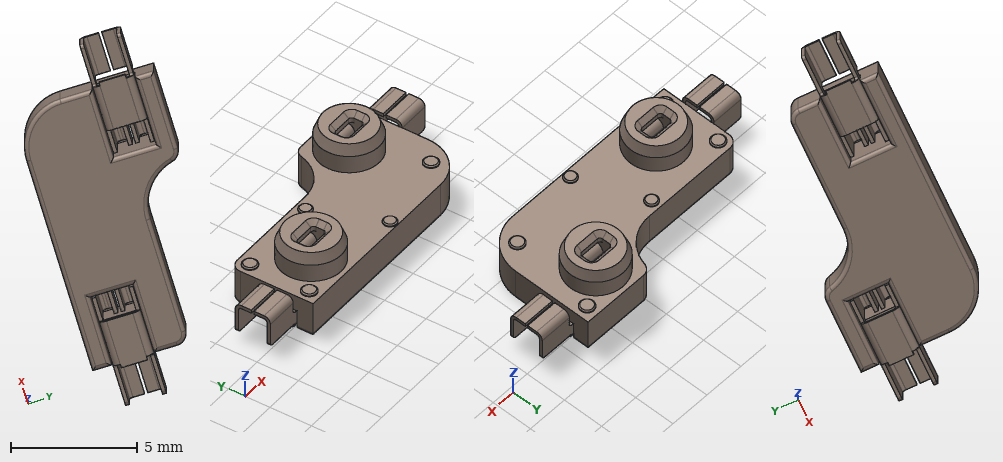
import cadquery as cq
import math


LENGTH = 14.5
POST_X = 3.18
POST_Y = 1.28

BODY_LENGTH = 10.9
BODY_WIDTH = 5.89
BODY_HEIGHT = 1.71
STEP_Y = 1.06
CORNER_RADIUS = 0.5
LARGE_RADIUS = 2.0
SWEEP_X = -0.22
BOTTOM_FILLET = 0.17

HEIGHT = 3.05
POST_DIAMETER = 2.9
NOSE_INSET = 0.2
NOSE_HEIGHT = 0.5

THROAT_LENGTH = 1.2
THROAT_WIDTH = 0.67
THROAT_RADIUS = 0.15
FUNNEL_FLARE = 0.25
FUNNEL_DEPTH = 0.23

PEG_HEIGHT = 0.1
PEG_CHAMFER = 0.06
LARGE_PEG_DIAMETER = 0.7
SMALL_PEG_DIAMETER = 0.62
LARGE_PEGS = [(-4.9, 0.48), (-4.9, -2.38), (4.34, -1.87), (4.87, 2.36)]
SMALL_PEGS = [(-0.85, 0.6), (0.42, -2.6)]

SHEET = 0.16
CONTACT_WIDTH = 1.7
CONTACT_BOTTOM = 0.05
CONTACT_TOP = 1.8
BEND_RADIUS = 0.3
SEAM_GAP = 0.13
TERMINAL_LENGTH = 1.6
TERMINAL_BOTTOM = 0.35
NECK_TOP = 0.93
NECK_FILLET = 0.15
NOTCH_FILLET = 0.09
TERMINAL_CORNER_RADIUS = 0.15
NOTCH_OVERHANG = 0.06
LEAF_LENGTH = 0.99
LEAF_TOP = 2.54
LEAF_TIP = 1.02
LEAF_BEND_RADIUS = 0.36

CLEARANCE = 0.036

POST_RADIUS = POST_DIAMETER / 2
HALF_LENGTH = LENGTH / 2
HALF_BODY = BODY_LENGTH / 2
HALF_WIDTH = BODY_WIDTH / 2
HALF_CONTACT = CONTACT_WIDTH / 2
TERMINAL_END = TERMINAL_LENGTH - HALF_LENGTH
LEAF_START = -POST_X - LEAF_LENGTH / 2
LEAF_END = -POST_X + LEAF_LENGTH / 2
CAVITY_Y_RANGE = (-POST_Y - HALF_CONTACT - CLEARANCE, -POST_Y + HALF_CONTACT + CLEARANCE)
CHAMBER_START = -POST_X - THROAT_LENGTH / 2
CHAMBER_END = -POST_X + THROAT_LENGTH / 2


def block(x_range, y_range, z_range):
    """Box filling the given ranges."""
    (x0, x1), (y0, y1), (z0, z1) = x_range, y_range, z_range
    return cq.Workplane("XY").box(x1 - x0, y1 - y0, z1 - z0, centered=False).translate((x0, y0, z0))


def half_turn(body):
    """Same shape on the other post."""
    return body.rotate((0, 0, 0), (0, 0, 1), 180)



def point_on_circle(center, radius, angle):
    """Point at an angle in radians, counted from +X."""
    return (center[0] + radius * math.cos(angle), center[1] + radius * math.sin(angle))


def housing_block():
    """Stepped plate; a concave sweep and a convex corner, tangent to each other, form the step."""
    sweep_center = (SWEEP_X, STEP_Y + LARGE_RADIUS)
    corner_y = HALF_WIDTH - CORNER_RADIUS
    center_distance = LARGE_RADIUS + CORNER_RADIUS
    sweep_end = math.asin((corner_y - sweep_center[1]) / center_distance)
    corner_center = point_on_circle(sweep_center, center_distance, sweep_end)
    sweep_middle = (sweep_end - math.pi / 2) / 2
    corner_middle = (sweep_end + math.pi + math.pi / 2) / 2

    return (
        cq.Workplane("XY")
        .moveTo(-HALF_BODY, -HALF_WIDTH)
        .lineTo(HALF_BODY - LARGE_RADIUS, -HALF_WIDTH)
        .tangentArcPoint((HALF_BODY, LARGE_RADIUS - HALF_WIDTH), relative=False)
        .lineTo(HALF_BODY, HALF_WIDTH)
        .lineTo(corner_center[0], HALF_WIDTH)
        .threePointArc(
            point_on_circle(corner_center, CORNER_RADIUS, corner_middle),
            point_on_circle(sweep_center, LARGE_RADIUS, sweep_end),
        )
        .threePointArc(
            point_on_circle(sweep_center, LARGE_RADIUS, sweep_middle),
            (SWEEP_X, STEP_Y),
        )
        .lineTo(CORNER_RADIUS - HALF_BODY, STEP_Y)
        .tangentArcPoint((-HALF_BODY, STEP_Y - CORNER_RADIUS), relative=False)
        .close()
        .extrude(BODY_HEIGHT)
    )


def entry_channel():
    """Low channel, open below, that leads a contact in from the side of the housing."""
    return block(
        (-HALF_BODY, CHAMBER_END),
        CAVITY_Y_RANGE,
        (0, NECK_TOP + CLEARANCE),
    )


def leaf_chamber():
    """Tall part of the cavity, inside the post, that holds the contact's leaves."""
    return block(
        (CHAMBER_START, CHAMBER_END),
        CAVITY_Y_RANGE,
        (NECK_TOP, LEAF_TOP + CLEARANCE),
    )


def post():
    """Round post with a tapered nose."""
    return (
        cq.Workplane("XY", origin=(-POST_X, -POST_Y, BODY_HEIGHT))
        .circle(POST_RADIUS)
        .extrude(HEIGHT - BODY_HEIGHT)
        .faces(">Z")
        .chamfer(NOSE_HEIGHT, NOSE_INSET)
    )


def throat_outline(flare):
    """Rounded rectangle of the throat, grown by the flare on every side."""
    return (
        cq.Sketch()
        .rect(THROAT_LENGTH + 2 * flare, THROAT_WIDTH + 2 * flare)
        .vertices()
        .fillet(THROAT_RADIUS + flare)
    )


def post_opening():
    """Rounded throat down to the leaf chamber, widened to a funnel at the top."""
    funnel_bottom = HEIGHT - FUNNEL_DEPTH
    throat = (
        cq.Workplane("XY", origin=(-POST_X, -POST_Y, LEAF_TOP))
        .placeSketch(throat_outline(0))
        .extrude(funnel_bottom - LEAF_TOP)
    )
    funnel = (
        cq.Workplane("XY", origin=(-POST_X, -POST_Y, funnel_bottom))
        .placeSketch(
            throat_outline(0),
            throat_outline(FUNNEL_FLARE).moved(cq.Location(cq.Vector(0, 0, FUNNEL_DEPTH))),
        )
        .loft()
    )
    return throat.union(funnel)


def peg(position, diameter):
    """Low chamfered disc on the top face."""
    return (
        cq.Workplane("XY", origin=(*position, BODY_HEIGHT))
        .circle(diameter / 2)
        .extrude(PEG_HEIGHT)
        .faces(">Z")
        .chamfer(PEG_CHAMFER)
    )


def build_housing():
    """Plate with both posts and pegs, hollowed out for the contacts."""
    body = housing_block().cut(entry_channel()).cut(half_turn(entry_channel()))
    body = body.faces("<Z").edges().fillet(BOTTOM_FILLET)
    body = body.union(post()).union(half_turn(post()))

    post_hollow = leaf_chamber().union(post_opening())
    body = body.cut(post_hollow).cut(half_turn(post_hollow))

    for position in LARGE_PEGS:
        body = body.union(peg(position, LARGE_PEG_DIAMETER))
    for position in SMALL_PEGS:
        body = body.union(peg(position, SMALL_PEG_DIAMETER))
    return body



def bent_tube():
    """Square tube of bent sheet, from the open terminal end to the end of the leaves."""
    length = LEAF_END + HALF_LENGTH
    height = CONTACT_TOP - CONTACT_BOTTOM
    center = (-HALF_LENGTH, -POST_Y, (CONTACT_TOP + CONTACT_BOTTOM) / 2)
    outside = (
        cq.Workplane("YZ", origin=center)
        .rect(CONTACT_WIDTH, height)
        .extrude(length)
        .edges("|X")
        .fillet(BEND_RADIUS)
    )
    inside = (
        cq.Workplane("YZ", origin=center)
        .rect(CONTACT_WIDTH - 2 * SHEET, height - 2 * SHEET)
        .extrude(length)
        .edges("|X")
        .fillet(BEND_RADIUS - SHEET)
    )
    return outside.cut(inside)


def side_profile():
    """Volume kept of the bent tube: its side outline plus the narrow floor tab under the terminal."""
    notch_end = -HALF_BODY - NOTCH_OVERHANG
    walls = (
        cq.Workplane("XZ", origin=(0, HALF_CONTACT - POST_Y, 0))
        .moveTo(-HALF_LENGTH, CONTACT_TOP)
        .lineTo(-HALF_LENGTH, TERMINAL_BOTTOM + TERMINAL_CORNER_RADIUS)
        .tangentArcPoint((TERMINAL_CORNER_RADIUS - HALF_LENGTH, TERMINAL_BOTTOM), relative=False)
        .lineTo(notch_end - NOTCH_FILLET, TERMINAL_BOTTOM)
        .tangentArcPoint((notch_end, TERMINAL_BOTTOM - NOTCH_FILLET), relative=False)
        .lineTo(notch_end, CONTACT_BOTTOM)
        .lineTo(LEAF_END, CONTACT_BOTTOM)
        .lineTo(LEAF_END, NECK_TOP)
        .lineTo(TERMINAL_END + NECK_FILLET, NECK_TOP)
        .tangentArcPoint((TERMINAL_END, NECK_TOP + NECK_FILLET), relative=False)
        .lineTo(TERMINAL_END, CONTACT_TOP)
        .close()
        .extrude(CONTACT_WIDTH)
    )
    half_tab = HALF_CONTACT - BEND_RADIUS
    tab = block(
        (TERMINAL_END, notch_end),
        (-POST_Y - half_tab, -POST_Y + half_tab),
        (CONTACT_BOTTOM, CONTACT_BOTTOM + SHEET),
    )
    return walls.union(tab)


def leaf():
    """Spring leaf: up from the side wall, over towards the middle and down beside the gap."""
    half_gap = SEAM_GAP / 2
    inner_bend_radius = LEAF_BEND_RADIUS - SHEET
    wall_bend_radius = BEND_RADIUS - SHEET
    underside = LEAF_TOP - SHEET
    return (
        cq.Workplane("YZ", origin=(LEAF_START, -POST_Y, 0))
        .moveTo(HALF_CONTACT, NECK_TOP)
        .lineTo(HALF_CONTACT, LEAF_TOP - BEND_RADIUS)
        .tangentArcPoint((HALF_CONTACT - BEND_RADIUS, LEAF_TOP), relative=False)
        .lineTo(half_gap + LEAF_BEND_RADIUS, LEAF_TOP)
        .tangentArcPoint((half_gap, LEAF_TOP - LEAF_BEND_RADIUS), relative=False)
        .lineTo(half_gap, LEAF_TIP)
        .lineTo(half_gap + SHEET, LEAF_TIP)
        .lineTo(half_gap + SHEET, underside - inner_bend_radius)
        .tangentArcPoint((half_gap + LEAF_BEND_RADIUS, underside), relative=False)
        .lineTo(HALF_CONTACT - BEND_RADIUS, underside)
        .tangentArcPoint((HALF_CONTACT - SHEET, underside - wall_bend_radius), relative=False)
        .lineTo(HALF_CONTACT - SHEET, NECK_TOP)
        .close()
        .extrude(LEAF_LENGTH)
    )


def build_contact():
    """Split square terminal, neck and two facing spring leaves, bent from one sheet."""
    half_gap = SEAM_GAP / 2
    seam = block(
        (-HALF_LENGTH, TERMINAL_END),
        (-POST_Y - half_gap, -POST_Y + half_gap),
        (CONTACT_TOP - SHEET, CONTACT_TOP),
    )
    floor_opening = block(
        (LEAF_START, LEAF_END),
        (-POST_Y - HALF_CONTACT, -POST_Y + HALF_CONTACT),
        (CONTACT_BOTTOM, CONTACT_BOTTOM + BEND_RADIUS),
    )
    contact = bent_tube().intersect(side_profile()).cut(seam).cut(floor_opening)
    opposite_leaf = leaf().mirror("XZ", (0, -POST_Y, 0))
    return contact.union(leaf()).union(opposite_leaf)


housing = build_housing()
contacts = [build_contact().rotate((0, 0, 0), (0, 0, 1), angle) for angle in (0, 180)]

result = cq.Compound.makeCompound([housing.val(), *[body.val() for body in contacts]])